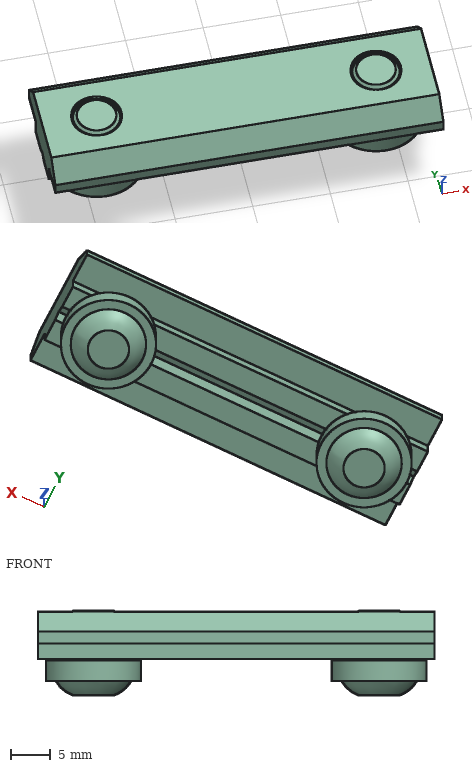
import cadquery as cq
import math

length = 50.0
rail_width = 16.0
stem_width = 8.0
rail_height = 6.0
flange_height = 4.0
edge_chamfer = 2.5

groove_width = 2.0
groove_depth = 0.55

bolt_spacing = 36.0
shank_radius = 3.0
shank_chamfer = 0.5
tip_projection = 0.15
head_gap = 0.15
collar_radius = 6.0
collar_height = 2.6
dome_radius = 4.75
dome_flat_radius = 2.6
total_height = 10.7
hole_chamfer = 0.2

collar_top = -rail_height - head_gap
collar_bottom = collar_top - collar_height
dome_bottom = tip_projection - total_height
bolt_centers = [(-bolt_spacing / 2, 0), (bolt_spacing / 2, 0)]


def make_rail():
    half_rail = rail_width / 2
    half_stem = stem_width / 2
    half_profile = [
        (0, 0),
        (half_rail - edge_chamfer, 0),
        (half_rail, -edge_chamfer),
        (half_rail, -flange_height),
        (half_stem, -flange_height),
        (half_stem, -rail_height),
        (groove_width / 2, -rail_height),
        (0, groove_depth - rail_height),
    ]
    profile = cq.Workplane("YZ").polyline(half_profile).mirrorY()
    return profile.extrude(length / 2, both=True)


def make_hole():
    """Bolt clearance, chamfered where it opens in the top face."""
    outline = [
        (0, 0),
        (shank_radius + hole_chamfer, 0),
        (shank_radius, -hole_chamfer),
        (shank_radius, -rail_height),
        (0, -rail_height),
    ]
    return cq.Workplane("XZ").polyline(outline).close().revolve(360, (0, 0), (0, 1))


def make_bolt():
    dome_bulge = 0.25
    run = dome_radius - dome_flat_radius
    rise = collar_bottom - dome_bottom
    chord = math.hypot(run, rise)
    dome_middle = (
        (dome_radius + dome_flat_radius) / 2 + dome_bulge * rise / chord,
        (collar_bottom + dome_bottom) / 2 - dome_bulge * run / chord,
    )
    outline = (
        cq.Workplane("XZ")
        .moveTo(0, tip_projection)
        .lineTo(shank_radius - shank_chamfer, tip_projection)
        .lineTo(shank_radius, tip_projection - shank_chamfer)
        .lineTo(shank_radius, collar_top)
        .lineTo(collar_radius, collar_top)
        .lineTo(collar_radius, collar_bottom)
        .lineTo(dome_radius, collar_bottom)
        .threePointArc(dome_middle, (dome_flat_radius, dome_bottom))
        .lineTo(0, dome_bottom)
        .close()
    )
    return outline.revolve(360, (0, 0), (0, 1))


result = make_rail()
for x, y in bolt_centers:
    result = result.cut(make_hole().translate((x, y, 0)))
    result = result.union(make_bolt().translate((x, y, 0)))